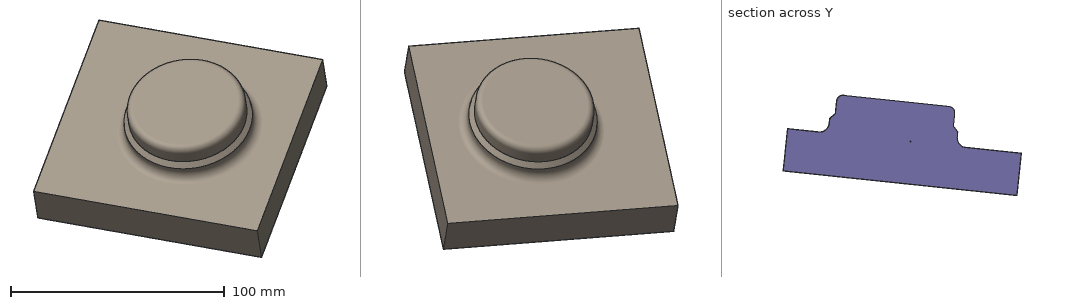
import cadquery as cq
import math

overall_length = 111.5
tilt_angle = 6.0
tilt = math.radians(tilt_angle)

plate_width = 105.0
plate_thickness = 20.0
plate_length = (overall_length - plate_thickness * math.sin(tilt)) / math.cos(tilt)

boss_offset = 5.7
foot_radius = 34.1
band_radius = 30.2
cap_radius = 27.9
foot_height = 4.5
band_top = 6.8
cap_bottom = 9.3
boss_height = 18.3
cap_edge_radius = 3.1
flare_sagitta = 1.1


def make_plate():
    """Flat plate with its top face at Z = 0."""
    return cq.Workplane("XY").box(
        plate_length, plate_width, plate_thickness, centered=(True, True, False)
    ).translate((0, 0, -plate_thickness))


def make_boss():
    """Revolved boss: flared foot, straight band, conical step and rounded cap."""
    return (
        cq.Workplane("XZ")
        .lineTo(foot_radius, 0)
        .sagittaArc((band_radius, foot_height), flare_sagitta)
        .lineTo(band_radius, band_top)
        .lineTo(cap_radius, cap_bottom)
        .lineTo(cap_radius, boss_height - cap_edge_radius)
        .radiusArc((cap_radius - cap_edge_radius, boss_height), -cap_edge_radius)
        .lineTo(0, boss_height)
        .close()
        .revolve(360, (0, 0, 0), (0, 1, 0))
        .translate((boss_offset, 0, 0))
    )


result = make_plate().union(make_boss()).rotate((0, 0, 0), (0, 1, 0), -tilt_angle)